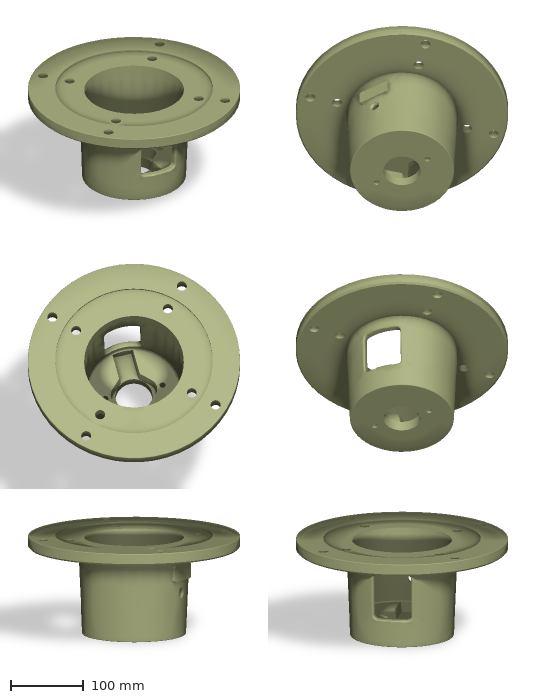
import cadquery as cq

height = 136.7

flange_radius = 146.0
flange_thickness = 16.5
flange_top_fillet = 1.0
flange_bottom_chamfer = 2.3
recess_radius = 108.5
recess_depth = 2.5
bolt_hole_diameter = 13.7
outer_bolt_offset = 92.0
inner_bolt_offset = 65.0

barrel_top_radius = 76.5
barrel_bottom_radius = 71.5
barrel_bottom_fillet = 1.2
barrel_collar_height = 1.2
bore_top_radius = 68.5
bore_bottom_radius = 64.5
bore_bottom_fillet = 2.0
floor_thickness = 30.0

center_hole_diameter = 50.8
mount_hole_diameter = 8.2
mount_hole_offset = 40.5
pocket_depth = 14.5
pocket_draft = 8.0
channel_bottom_length = 125.5
channel_bottom_width = 25.0
diamond_bottom_side = 50.8
diamond_corner_radius = 13.0

window_width = 52.5
window_bottom = 38.0
window_top = 102.8
window_corner_radius = 5.8
window_edge_fillet = 2.0
set_screw_height = 62.5
set_screw_diameter = 10.0
set_screw_countersink_diameter = 15.2
plate_width = 45.0
plate_height = 22.2
plate_center_height = 91.7
plate_corner_radius = 3.0
plate_face_offset = 76.8

flange_bottom = height - flange_thickness
taper_top = flange_bottom - barrel_collar_height


def square_corners(offset):
    """Four points at the corners of a square around the axis."""
    return [(sx * offset, sy * offset) for sx in (-1, 1) for sy in (-1, 1)]


def make_flange():
    """Round plate with a softened top rim and a chamfered bottom rim."""
    base = cq.Workplane("XY").workplane(offset=flange_bottom)
    flange = base.circle(flange_radius).extrude(flange_thickness)
    flange = flange.faces(">Z").edges().fillet(flange_top_fillet)
    return flange.faces("<Z").edges().chamfer(flange_bottom_chamfer)


def make_barrel():
    """Solid tapered barrel with a short straight collar that runs up into the flange."""
    collar_top = flange_bottom + flange_thickness / 2
    profile = [
        (0, 0),
        (barrel_bottom_radius, 0),
        (barrel_top_radius, taper_top),
        (barrel_top_radius, collar_top),
        (0, collar_top),
    ]
    barrel = cq.Workplane("XZ").polyline(profile).close().revolve(360, (0, 0), (0, 1))
    return barrel.faces("<Z").edges().fillet(barrel_bottom_fillet)


def make_plate():
    """Flat-faced name plate pad on the -X side, reaching into the barrel wall."""
    depth = plate_face_offset - bore_top_radius
    plate = cq.Workplane("XY").box(depth, plate_width, plate_height)
    plate = plate.edges("|X").fillet(plate_corner_radius)
    return plate.translate((depth / 2 - plate_face_offset, 0, plate_center_height))


def make_bore():
    """Tapered bore from the top face down to the floor, rounded at its bottom."""
    profile = [
        (0, floor_thickness),
        (bore_bottom_radius, floor_thickness),
        (bore_top_radius, height),
        (0, height),
    ]
    bore = cq.Workplane("XZ").polyline(profile).close().revolve(360, (0, 0), (0, 1))
    return bore.faces("<Z").edges().fillet(bore_bottom_fillet)


def make_recess():
    """Shallow round recess in the top face of the flange."""
    base = cq.Workplane("XY").workplane(offset=height - recess_depth)
    return base.circle(recess_radius).extrude(recess_depth)


def make_floor_pocket():
    """Cross channel joined to a rounded diamond, both widening upwards."""
    pocket_bottom = floor_thickness - pocket_depth
    base = cq.Workplane("XY").workplane(offset=pocket_bottom)
    channel = base.rect(channel_bottom_length, channel_bottom_width).extrude(pocket_depth, taper=-pocket_draft)
    outline = cq.Sketch().rect(diamond_bottom_side, diamond_bottom_side).vertices().fillet(diamond_corner_radius)
    diamond = base.placeSketch(outline).extrude(pocket_depth, taper=-pocket_draft)
    return channel.union(diamond.rotate((0, 0, 0), (0, 0, 1), 45))


def make_vertical_holes():
    """Center hole and mounting holes of the floor, and both sets of flange bolt holes."""
    base = cq.Workplane("XY")
    holes = base.circle(center_hole_diameter / 2).extrude(height)
    mount_points = [(0, -mount_hole_offset), (0, mount_hole_offset)]
    holes = holes.union(base.pushPoints(mount_points).circle(mount_hole_diameter / 2).extrude(height))
    for offset in (inner_bolt_offset, outer_bolt_offset):
        bolts = base.pushPoints(square_corners(offset)).circle(bolt_hole_diameter / 2).extrude(height)
        holes = holes.union(bolts)
    return holes


def make_window():
    """Rounded rectangular opening through the +X wall."""
    window = cq.Workplane("XY").box(flange_radius, window_width, window_top - window_bottom)
    window = window.edges("|X").fillet(window_corner_radius)
    return window.translate((flange_radius / 2, 0, (window_top + window_bottom) / 2))


def make_set_screw_hole():
    """Countersunk cross hole through the -X wall."""
    wall_slope = (barrel_top_radius - barrel_bottom_radius) / taper_top
    wall_radius = barrel_bottom_radius + wall_slope * set_screw_height
    hole_radius = set_screw_diameter / 2
    sink_radius = set_screw_countersink_diameter / 2
    profile = [
        (0, 0),
        (-barrel_top_radius, 0),
        (-barrel_top_radius, sink_radius),
        (-wall_radius, sink_radius),
        (-wall_radius + sink_radius - hole_radius, hole_radius),
        (0, hole_radius),
    ]
    hole = cq.Workplane("XZ").polyline(profile).close().revolve(360, (0, 0), (1, 0))
    return hole.translate((0, 0, set_screw_height))


def cut_window(solid_barrel):
    """Cut the window into the still solid barrel and round its outer rim."""
    rim_zone = cq.selectors.BoxSelector(
        (bore_bottom_radius, -window_width, window_bottom - window_edge_fillet),
        (flange_radius, window_width, window_top + window_edge_fillet),
    )
    return solid_barrel.cut(make_window()).edges(rim_zone).fillet(window_edge_fillet)


result = (
    make_flange()
    .union(cut_window(make_barrel()))
    .union(make_plate())
    .cut(make_bore())
    .cut(make_recess())
    .cut(make_floor_pocket())
    .cut(make_vertical_holes())
    .cut(make_set_screw_hole())
)